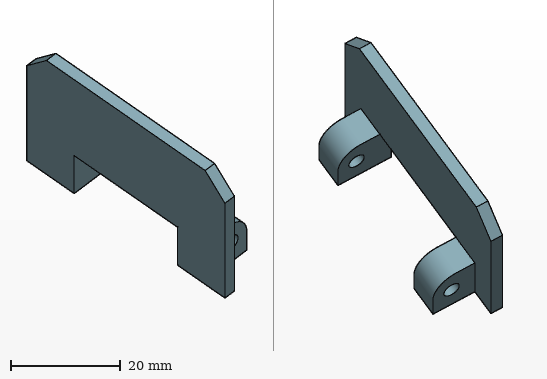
import cadquery as cq

plate_width = 50.0
plate_height = 30.0
plate_thickness = 2.5
corner_chamfer = 5.0

leg_width = 12.0
notch_width = plate_width - 2 * leg_width
notch_height = 10.0

lug_width = 6.5
lug_length = 9.0
lug_height = notch_height
lug_radius = 5.0
lug_back = plate_thickness + lug_length

pin_diameter = 3.3
pin_from_back = 4.0
pin_height = lug_height / 2


def make_plate():
    """Plate with chamfered top corners and a notch in its lower edge."""
    plate = (
        cq.Workplane("XY")
        .box(plate_width, plate_thickness, plate_height, centered=(True, False, False))
        .edges("|Y and >Z")
        .chamfer(corner_chamfer)
    )
    notch = cq.Workplane("XY").box(
        notch_width, plate_thickness, notch_height, centered=(True, False, False)
    )
    return plate.cut(notch)


def make_lug(start_x):
    """Lug from start_x towards +X, with a rounded upper back edge and a pin hole."""
    lug = (
        cq.Workplane("XY")
        .box(lug_width, lug_length, lug_height, centered=False)
        .translate((start_x, plate_thickness, 0))
        .edges("|X and >Y and >Z")
        .fillet(lug_radius)
    )
    pin_hole = (
        cq.Workplane("YZ", origin=(start_x, 0, 0))
        .center(lug_back - pin_from_back, pin_height)
        .circle(pin_diameter / 2)
        .extrude(lug_width)
    )
    return lug.cut(pin_hole)


result = make_plate()
for lug_start in (-notch_width / 2 - lug_width, notch_width / 2):
    result = result.union(make_lug(lug_start))